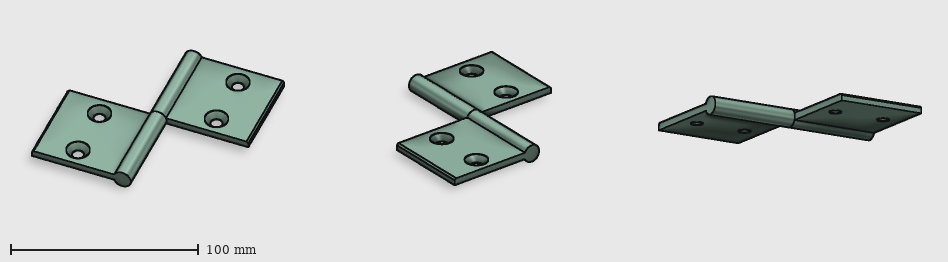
import cadquery as cq

total_width = 104.0
total_length = 100.0
knuckle_diameter = 10.0

leaf_reach = total_width / 2
leaf_length = total_length / 2
leaf_thickness = 4.0
edge_chamfer = 1.0

hole_diameter = 6.5
sink_diameter = 12.7
sink_rim_depth = 0.4
sink_cone_depth = (sink_diameter - hole_diameter) / 2
hole_offset = 29.5
hole_pitch = 30.0


def screw_cutter(x, y):
    """Through hole with a 90 degree countersink and a short straight rim at the top."""
    top = leaf_thickness / 2
    rim_floor = top - sink_rim_depth
    cone_floor = rim_floor - sink_cone_depth
    profile = (
        cq.Workplane("XZ")
        .moveTo(0, -top)
        .lineTo(hole_diameter / 2, -top)
        .lineTo(hole_diameter / 2, cone_floor)
        .lineTo(sink_diameter / 2, rim_floor)
        .lineTo(sink_diameter / 2, top)
        .lineTo(0, top)
        .close()
    )
    return profile.revolve(360, (0, 0, 0), (0, 1, 0)).translate((x, y, 0))


def hinge_leaf(side):
    """One leaf and its knuckle: side +1 lies at +X and +Y, side -1 at -X and -Y."""
    middle_y = side * leaf_length / 2
    plate = (
        cq.Workplane("XY")
        .box(leaf_reach, leaf_length, leaf_thickness)
        .translate((side * leaf_reach / 2, middle_y, 0))
    )
    outer_face = ">X" if side > 0 else "<X"
    plate = plate.faces(outer_face).edges(">Z").chamfer(edge_chamfer)
    knuckle = (
        cq.Workplane("XZ")
        .circle(knuckle_diameter / 2)
        .extrude(leaf_length / 2, both=True)
        .translate((0, middle_y, 0))
    )
    leaf = plate.union(knuckle)
    for step in (-1, 1):
        hole_y = middle_y + step * hole_pitch / 2
        leaf = leaf.cut(screw_cutter(side * hole_offset, hole_y))
    return leaf


leaves = [hinge_leaf(side) for side in (-1, 1)]

result = cq.Compound.makeCompound([leaf.val() for leaf in leaves])